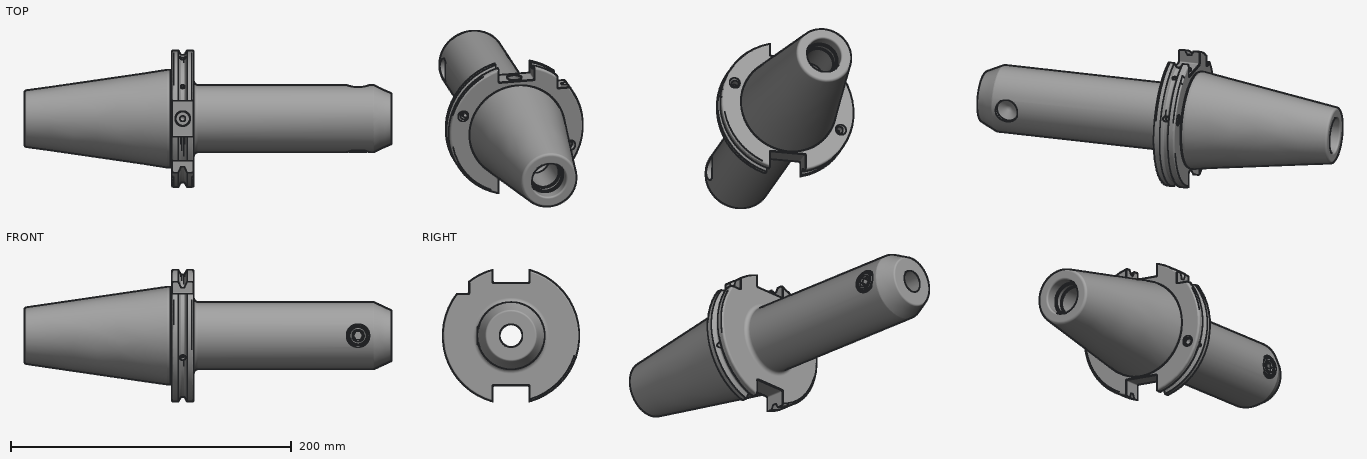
import cadquery as cq
import math

taper_length = 101.75
tail_x = -taper_length
nose_x = 160.0
flange_front_x = 3.2
flange_back_x = 19.1

gauge_radius = 69.85 / 2
taper_slope = 7 / 24 / 2
tail_radius = gauge_radius - taper_slope * taper_length
tail_round = 2.0
collar_length = 2.2
neck_depth = 0.5
neck_radius = gauge_radius - neck_depth

flange_radius = 97.5 / 2
flange_edge_round = 1.5
groove_center_x = 11.1
groove_half_width = 3.1
groove_depth = 3.2
groove_wall_angle = 30.0
groove_floor_round = 0.8
groove_floor_radius = flange_radius - groove_depth
groove_floor_half_width = groove_half_width - groove_depth * math.tan(math.radians(groove_wall_angle))

key_slot_width = 25.7
upper_slot_floor_z = 37.7
lower_slot_floor_z = -35.5
notch_y = -30.0
notch_z = 30.0
cutout_chamfer = 0.5
cutout_corner_round = 0.8

chip_hole_diameter = 10.0
chip_hole_depth = 4.6
chip_pilot_diameter = 4.0
chip_pilot_depth = 1.0
chip_hole_chamfer = 0.4

coolant_hole_diameter = 5.0
coolant_sink_radius = 3.8
coolant_hole_depth = groove_center_x - flange_front_x
coolant_tilt = 25.0
coolant_pitch_radius = 41.5
coolant_angles = (20.0, 200.0)
outlet_diameter = 4.0
outlet_start_radius = 39.0
drill_tip_angle = 118.0
groove_hole_diameter = 3.0
groove_hole_depth = 4.0
groove_hole_angle = 60.0

selection_margin = 0.1

body_radius = 24.0
body_root_round = 3.0
nose_cone_length = 12.8
nose_cone_angle = 25.0
nose_face_radius = body_radius - nose_cone_length * math.tan(math.radians(nose_cone_angle))
nose_shoulder_round = 1.5
nose_edge_round = 1.5

bore_radius = 8.0
pilot_radius = 12.5
pilot_mouth_round = 1.3
pilot_depth = 10.0
relief_mouth_radius = 11.9
relief_radius = 11.2
relief_length = 5.5
thread_radius = 10.4
thread_depth = 45.0

screw_x = nose_x - 24.0
screw_radius = 7.0
screw_chamfer = 1.0
screw_face_radius = screw_radius - screw_chamfer
screw_outer_y = -body_radius
screw_bore_clearance = 1.0
screw_inner_y = -bore_radius - screw_bore_clearance
countersink_radius = 8.2
hex_across_flats = 6.0
hex_depth = 6.0
socket_mouth_radius = 4.3
balance_hole_radius = countersink_radius
balance_hole_depth = 4.0


def polar(radius, angle):
    """Point (y, z) at an angle about X, measured from +Y towards +Z."""
    return radius * math.cos(math.radians(angle)), radius * math.sin(math.radians(angle))


def drilled_hole(radius, depth, start, direction):
    """Round hole with a conical drill tip; depth is that of the straight part."""
    tip = radius / math.tan(math.radians(drill_tip_angle / 2))
    profile = cq.Workplane("XZ").polyline([(0, 0), (radius, 0), (radius, depth), (0, depth + tip)]).close()
    tool = profile.revolve(360, (0, 0), (0, 1)).val()
    return tool.moved(cq.Plane(origin=start, normal=direction).location)


def turned_edge(x, radius):
    """Selector for the circular edge of this radius at this station on the X axis."""
    reach = radius + selection_margin
    box = cq.selectors.BoxSelector(
        (x - selection_margin, -reach, -reach), (x + selection_margin, reach, reach), boundingbox=True
    )
    return box - cq.selectors.BoxSelector(
        (x - selection_margin, -radius + selection_margin, -radius + selection_margin),
        (x + selection_margin, radius - selection_margin, radius - selection_margin),
        boundingbox=True,
    )


def turned_blank():
    outline = (
        cq.Workplane("XZ")
        .moveTo(tail_x, 0)
        .lineTo(tail_x, tail_radius)
        .lineTo(0, gauge_radius)
        .lineTo(collar_length, gauge_radius)
        .lineTo(collar_length + neck_depth, neck_radius)
        .lineTo(flange_front_x, neck_radius)
        .lineTo(flange_front_x, flange_radius)
        .lineTo(groove_center_x - groove_half_width, flange_radius)
        .lineTo(groove_center_x - groove_floor_half_width, groove_floor_radius)
        .lineTo(groove_center_x + groove_floor_half_width, groove_floor_radius)
        .lineTo(groove_center_x + groove_half_width, flange_radius)
        .lineTo(flange_back_x, flange_radius)
        .lineTo(flange_back_x, body_radius)
        .lineTo(nose_x - nose_cone_length, body_radius)
        .lineTo(nose_x, nose_face_radius)
        .lineTo(nose_x, 0)
        .close()
    )
    blank = outline.revolve(360, (0, 0), (1, 0))
    rounds = (
        (tail_x, tail_radius, tail_round),
        (flange_front_x, flange_radius, flange_edge_round),
        (flange_back_x, flange_radius, flange_edge_round),
        (groove_center_x - groove_floor_half_width, groove_floor_radius, groove_floor_round),
        (groove_center_x + groove_floor_half_width, groove_floor_radius, groove_floor_round),
        (flange_back_x, body_radius, body_root_round),
        (nose_x - nose_cone_length, body_radius, nose_shoulder_round),
        (nose_x, nose_face_radius, nose_edge_round),
    )
    for x, radius, size in rounds:
        blank = blank.edges(turned_edge(x, radius)).fillet(size)
    return blank


def axial_bore():
    thread_end_x = tail_x + thread_depth
    pilot_end_x = tail_x + pilot_depth
    relief_end_x = pilot_end_x + relief_length
    mouth_radius = pilot_radius + pilot_mouth_round
    arc_offset = pilot_mouth_round * (1 - math.sqrt(0.5))
    return (
        cq.Workplane("XZ")
        .moveTo(tail_x, 0)
        .lineTo(tail_x, mouth_radius)
        .threePointArc(
            (tail_x + arc_offset, pilot_radius + arc_offset),
            (tail_x + pilot_mouth_round, pilot_radius),
        )
        .lineTo(pilot_end_x, pilot_radius)
        .lineTo(pilot_end_x, relief_mouth_radius)
        .lineTo(pilot_end_x + relief_mouth_radius - relief_radius, relief_radius)
        .lineTo(relief_end_x, relief_radius)
        .lineTo(relief_end_x + relief_radius - thread_radius, thread_radius)
        .lineTo(thread_end_x, thread_radius)
        .lineTo(thread_end_x + thread_radius - bore_radius, bore_radius)
        .lineTo(nose_x, bore_radius)
        .lineTo(nose_x, 0)
        .close()
        .revolve(360, (0, 0), (1, 0))
    )


def rounded_rectangle(width, height, corner_round):
    return cq.Sketch().rect(width, height).vertices().fillet(corner_round)


def flange_cut(y_min, y_max, z_min, z_max):
    """Round-cornered block through the flange, flaring out by a chamfer at both flange faces."""
    width = flange_back_x - flange_front_x
    middle_x = (flange_front_x + flange_back_x) / 2
    size_y = y_max - y_min
    size_z = z_max - z_min
    section = rounded_rectangle(size_y, size_z, cutout_corner_round)
    mouth = rounded_rectangle(
        size_y + 2 * cutout_chamfer, size_z + 2 * cutout_chamfer, cutout_corner_round + cutout_chamfer
    )
    start = cq.Workplane("YZ", origin=(flange_front_x, (y_min + y_max) / 2, (z_min + z_max) / 2))
    through = start.placeSketch(section).extrude(width)
    flare = start.placeSketch(mouth).extrude(cutout_chamfer, taper=45)
    return through.union(flare).union(flare.mirror("YZ", (middle_x, 0, 0)))


def flange_cutouts():
    half = key_slot_width / 2
    upper_slot = flange_cut(-half, half, upper_slot_floor_z, flange_radius)
    lower_slot = flange_cut(-half, half, -flange_radius, lower_slot_floor_z)
    notch = flange_cut(-flange_radius, notch_y, notch_z, flange_radius)
    return upper_slot, lower_slot, notch


def chip_hole():
    start = cq.Workplane("XY", origin=(groove_center_x, 0, upper_slot_floor_z))
    pocket = start.circle(chip_hole_diameter / 2).extrude(-chip_hole_depth)
    rim_radius = chip_hole_diameter / 2 + chip_hole_chamfer
    rim = cq.Solid.makeCone(
        rim_radius, rim_radius - chip_hole_chamfer, chip_hole_chamfer,
        cq.Vector(groove_center_x, 0, upper_slot_floor_z), cq.Vector(0, 0, -1),
    )
    pilot_start = (groove_center_x, 0, upper_slot_floor_z - chip_hole_depth)
    pilot = drilled_hole(chip_pilot_diameter / 2, chip_pilot_depth, pilot_start, (0, 0, -1))
    return pocket.union(rim).union(pilot)


def coolant_hole(angle):
    """Inlet in the front flange face, leaning towards the axis, and its outlet in the groove floor."""
    inlet_y, inlet_z = polar(coolant_pitch_radius, angle)
    lean_y, lean_z = polar(-math.tan(math.radians(coolant_tilt)), angle)
    inlet = drilled_hole(
        coolant_hole_diameter / 2, coolant_hole_depth,
        (flange_front_x, inlet_y, inlet_z), (1, lean_y, lean_z),
    )
    countersink = cq.Solid.makeCone(
        coolant_sink_radius, 0, coolant_sink_radius,
        cq.Vector(flange_front_x, inlet_y, inlet_z), cq.Vector(1, 0, 0),
    )
    outlet_length = flange_radius - outlet_start_radius
    outlet_y, outlet_z = polar(outlet_start_radius, angle)
    outlet = cq.Solid.makeCylinder(
        outlet_diameter / 2, outlet_length,
        cq.Vector(groove_center_x, outlet_y, outlet_z), cq.Vector(0, outlet_y, outlet_z),
    )
    return cq.Workplane(inlet).union(countersink).union(outlet)


def groove_hole():
    y, z = polar(groove_floor_radius, groove_hole_angle)
    return drilled_hole(groove_hole_diameter / 2, groove_hole_depth, (groove_center_x, y, z), (0, -y, -z))


def screw_hole():
    """Hole into the bore from the -Y side, with a 45 degree countersink."""
    sink_depth = countersink_radius - screw_radius
    sink_y = -math.sqrt(body_radius**2 - countersink_radius**2)
    profile = (
        cq.Workplane("XY", origin=(screw_x, 0, 0))
        .polyline([
            (0, 0), (screw_radius, 0), (screw_radius, sink_y + sink_depth),
            (countersink_radius, sink_y), (countersink_radius, -body_radius), (0, -body_radius),
        ])
        .close()
    )
    return profile.revolve(360, (0, 0), (0, 1))


def balance_hole():
    return drilled_hole(balance_hole_radius, balance_hole_depth, (screw_x, body_radius, 0), (0, -1, 0))


def make_holder():
    holder = turned_blank().cut(axial_bore())
    for cutout in flange_cutouts():
        holder = holder.cut(cutout)
    holder = holder.cut(chip_hole())
    for angle in coolant_angles:
        holder = holder.cut(coolant_hole(angle))
    holder = holder.cut(cq.Workplane(groove_hole()))
    holder = holder.cut(screw_hole())
    return holder.cut(cq.Workplane(balance_hole()))


def make_clamp_screw():
    profile = (
        cq.Workplane("XY", origin=(screw_x, 0, 0))
        .polyline([
            (0, screw_inner_y), (screw_radius, screw_inner_y),
            (screw_radius, screw_outer_y + screw_chamfer), (screw_face_radius, screw_outer_y),
            (0, screw_outer_y),
        ])
        .close()
    )
    screw = profile.revolve(360, (0, 0), (0, 1))
    hex_corner_diameter = hex_across_flats / math.cos(math.radians(30))
    socket = (
        cq.Workplane("XZ", origin=(screw_x, screw_outer_y, 0))
        .polygon(6, hex_corner_diameter)
        .extrude(-hex_depth)
    )
    mouth = cq.Solid.makeCone(
        socket_mouth_radius, 0, socket_mouth_radius,
        cq.Vector(screw_x, screw_outer_y, 0), cq.Vector(0, 1, 0),
    )
    return screw.cut(socket).cut(cq.Workplane(mouth))


holder = make_holder()
clamp_screw = make_clamp_screw()
result = cq.Compound.makeCompound([holder.val(), clamp_screw.val()])